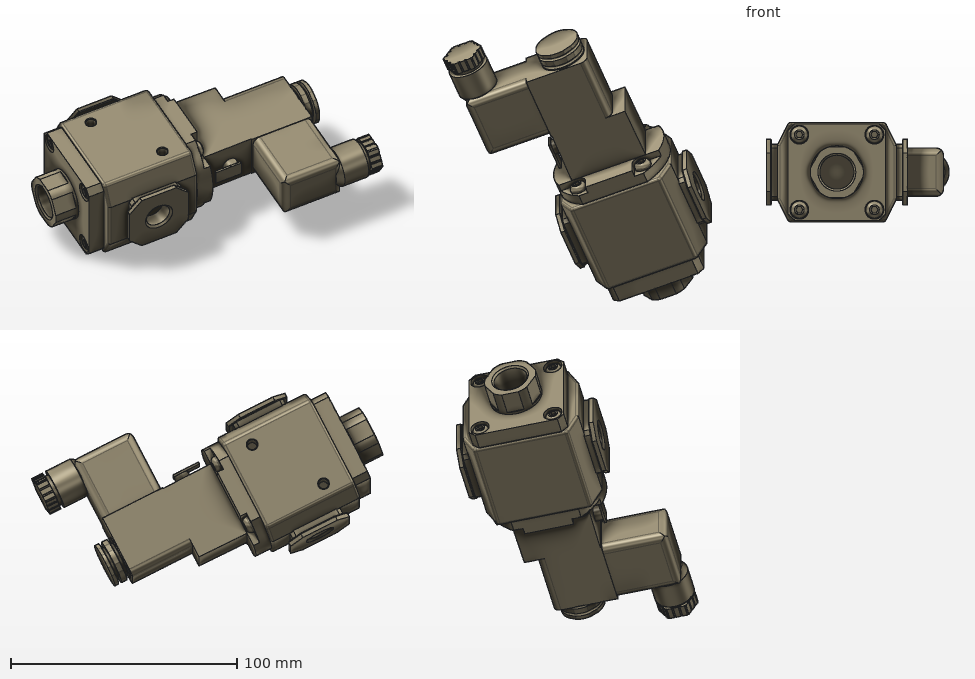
import cadquery as cq
import math


body_front, body_back = -22.5, 21.6
body_half_width = 26.3
body_height = 44.0
body_side_height = 23.9
body_top_half_width = 21.3
body_edge_radius = 1.9
body_end_radius = 1.1

mount_x, mount_y = 15.0, 10.0
mount_diameter = 4.5
mount_rim_diameter = 5.1
mount_depth = 7.2

port_face_x = 31.2
port_plate_size = 29.2
port_plate_chamfer = 6.0
port_plate_thickness = 2.3
port_plate_back_chamfer = 0.5
port_neck_size = 24.9
port_neck_chamfer = 1.7
port_bore = 11.5
port_rim = 13.5
port_depth = 7.2

plate_width, plate_height = 43.2, 42.6
plate_thickness = 7.5
plate_chamfer = 2.9
plate_front = body_front - plate_thickness
nozzle_diameter = 23.5
nozzle_length = 11.3
nozzle_flats = 22.2
nozzle_collar = 1.1
nozzle_bore = 15.0
nozzle_rim = 16.7
nozzle_depth = 21.5
nozzle_front = plate_front - nozzle_length

flange_height = 42.8
flange_thickness = 7.7
flange_back = body_back + flange_thickness

screw_recess = 8.3
screw_depth = 3.0
front_screw_offset = 16.6
rear_screw_offset = 15.3
rear_pocket_radius = 4.0
head_diameter = 7.6
head_height = 2.9
head_rim = 0.7
head_top_diameter = 4.3
head_bulge = 0.3
socket_size = 3.1
socket_depth = 1.5

block_half_width = 17.3
block_base_half_width = 17.6
block_height = 22.0
block_length = 23.7
block_back = flange_back + block_length

lever_diameter = 6.9
lever_reach = 4.7
lever_y = 42.3
tab_thickness = 1.0
tab_length = 12.7

coil_left, coil_right = -11.3, 17.7
coil_length = 29.9
coil_edge_radius = 3.1
coil_back = block_back + coil_length

nut_diameter = 20.0
nut_flats = 19.6
tube_diameter = 15.0
washer_thickness = 0.6
nut_start, nut_thickness = 2.0, 2.7
thin_nut_start, thin_nut_thickness = 6.1, 1.9

box_right = 47.2
box_height = 21.5
box_clearance = 0.7
box_front = block_back + box_clearance
box_edge_radius = 3.5

gland_diameter = 18.0
gland_right = 49.6
gland_x = gland_right - gland_diameter / 2
gland_length = 11.9
gland_neck_diameter = 14.5
gland_neck_length = 1.7
gland_taper_length = 3.3
gland_taper_diameter = 14.3
knob_length = 5.3
knob_flats = 15.9
knob_groove = 0.7
knob_groove_depth = 0.6
teeth_per_side = 3


def cylinder_y(diameter, start, length, x=0.0, z=0.0):
    """Cylinder along +Y from the given start."""
    axis_point = cq.Vector(x, start, z)
    return cq.Workplane(cq.Solid.makeCylinder(diameter / 2, length, axis_point, cq.Vector(0, 1, 0)))


def prism_y(sketch, start, length):
    """Extrude a closed XZ outline along +Y."""
    return sketch.extrude(-length).translate((0, start, 0))


def box_between(x_range, y_range, z_range):
    """Box spanning three (low, high) ranges."""
    low, high = zip(x_range, y_range, z_range)
    size = [b - a for a, b in zip(low, high)]
    return cq.Workplane("XY").box(*size, centered=False).translate(low)


def hexagon_y(flats, start, length, first_flat):
    """Hexagonal bar along Y; first_flat is the angle of one flat's normal from X."""
    bar = prism_y(cq.Workplane("XZ").polygon(6, flats, circumscribed=True), start, length)
    return bar.rotate((0, 0, 0), (0, 1, 0), first_flat)


def flatted_disc(diameter, flats, start, length, first_flat):
    """Disc along Y with its rim cut by six flats."""
    return cylinder_y(diameter, start, length).intersect(hexagon_y(flats, start, length, first_flat))


def countersunk_bore(diameter, rim, depth):
    """Blind bore along -Z from the origin with a 45-degree rim."""
    rim_depth = (rim - diameter) / 2
    profile = [(0, 0), (rim / 2, 0), (diameter / 2, -rim_depth), (diameter / 2, -depth), (0, -depth)]
    return cq.Workplane("XZ").polyline(profile).close().revolve(360, (0, 0), (0, 1))


def main_body():
    side = body_side_height / 2
    top = body_height / 2
    outline = [
        (body_half_width, side), (body_top_half_width, top),
        (-body_top_half_width, top), (-body_half_width, side),
        (-body_half_width, -side), (-body_top_half_width, -top),
        (body_top_half_width, -top), (body_half_width, -side),
    ]
    body = prism_y(cq.Workplane("XZ").polyline(outline).close(), body_front, body_back - body_front)
    body = body.edges("|Y").edges(">Z or <Z").fillet(body_edge_radius)
    return body.faces("<Y or >Y").edges().fillet(body_end_radius)


def mount_holes():
    hole = countersunk_bore(mount_diameter, mount_rim_diameter, mount_depth)
    holes = cq.Workplane()
    for sign in (-1, 1):
        holes = holes.add(hole.translate((sign * mount_x, sign * mount_y, body_height / 2)))
    return holes.combine()


def side_ports():
    """Chamfered port plates and necks on both sides of the body."""
    plate = (
        cq.Workplane("YZ").rect(port_plate_size, port_plate_size).extrude(port_plate_thickness)
        .edges("|X").chamfer(port_plate_chamfer)
        .faces("<X").chamfer(port_plate_back_chamfer)
        .translate((port_face_x - port_plate_thickness, 0, 0))
    )
    inner = 2 * (port_face_x - port_plate_thickness)
    neck = (
        cq.Workplane("XY").box(inner, port_neck_size, port_neck_size)
        .edges("|X").chamfer(port_neck_chamfer)
    )
    return neck.union(plate).union(plate.mirror("YZ"))


def port_bores():
    bore = countersunk_bore(port_bore, port_rim, port_depth).translate((0, 0, port_face_x))
    bores = cq.Workplane()
    for angle in (-90, 90):
        bores = bores.add(bore.rotate((0, 0, 0), (0, 1, 0), angle))
    return bores.combine()


def front_plate():
    plate = prism_y(cq.Workplane("XZ").rect(plate_width, plate_height), plate_front, plate_thickness)
    return plate.edges("|Y").chamfer(plate_chamfer)


def nozzle():
    collar = cylinder_y(nozzle_diameter, plate_front - nozzle_collar, nozzle_collar)
    flats_length = nozzle_length - nozzle_collar
    return collar.union(flatted_disc(nozzle_diameter, nozzle_flats, nozzle_front, flats_length, 30))


def nozzle_hole():
    bore = countersunk_bore(nozzle_bore, nozzle_rim, nozzle_depth)
    return bore.rotate((0, 0, 0), (1, 0, 0), 90).translate((0, nozzle_front, 0))


def screw_head():
    """Domed head standing on the origin and pointing along +Z, with a hexagon socket."""
    base = head_diameter / 2
    top = head_top_diameter / 2
    dome_middle = ((base + top) / 2 + head_bulge, (head_rim + head_height) / 2 + head_bulge)
    head = (
        cq.Workplane("XZ").lineTo(base, 0).lineTo(base, head_rim)
        .threePointArc(dome_middle, (top, head_height)).lineTo(0, head_height).close()
        .revolve(360, (0, 0), (0, 1))
    )
    return head.faces(">Z").workplane().polygon(6, socket_size).cutBlind(-socket_depth)


def corner_points(offset):
    return [(x, z) for x in (-offset, offset) for z in (-offset, offset)]


def front_recesses():
    recesses = cq.Workplane()
    for x, z in corner_points(front_screw_offset):
        recesses = recesses.add(cylinder_y(screw_recess, plate_front, screw_depth, x, z))
    return recesses.combine()


def front_screws():
    head = screw_head().rotate((0, 0, 0), (1, 0, 0), 90)
    heads = cq.Workplane()
    for x, z in corner_points(front_screw_offset):
        heads = heads.add(head.translate((x, plate_front + screw_depth, z)))
    return heads.combine()


def rear_flange():
    """Round flange with flat top and bottom; each screw sits in a pocket open to the outside."""
    flange = cylinder_y(2 * body_half_width, body_back, flange_thickness)
    slab = cq.Workplane("XY").box(2 * body_half_width, 4 * body_half_width, flange_height)
    flange = flange.intersect(slab)
    floor = flange_back - screw_depth
    head = screw_head().rotate((0, 0, 0), (1, 0, 0), -90)
    inner = rear_screw_offset - screw_recess / 2
    pocket = box_between(
        (inner, body_half_width), (floor, flange_back), (inner, body_half_width)
    )
    pocket = pocket.edges("|Y and <X and <Z").fillet(rear_pocket_radius)
    for cutter in (pocket, pocket.mirror("YZ")):
        flange = flange.cut(cutter).cut(cutter.mirror("XY"))
    for x, z in corner_points(rear_screw_offset):
        flange = flange.union(head.translate((x, floor, z)))
    return flange


def valve_block():
    """Block that tapers slightly in width from the flange to the coil."""
    outline = [
        (-block_base_half_width, flange_back), (block_base_half_width, flange_back),
        (block_half_width, block_back), (-block_half_width, block_back),
    ]
    return cq.Workplane("XY").polyline(outline).close().extrude(block_height / 2, both=True)


def override_lever():
    end = block_half_width + lever_reach
    pin = cq.Workplane("YZ").center(lever_y, 0).circle(lever_diameter / 2).extrude(end)
    radius = lever_diameter / 2
    tab = box_between(
        (end - tab_thickness, end), (lever_y + radius - tab_length, lever_y + radius), (-radius, radius)
    )
    return pin.union(tab)


def coil():
    half_height = block_height / 2
    body = box_between((coil_left, coil_right), (block_back, coil_back), (-half_height, half_height))
    return body.edges("|Y and <X").fillet(coil_edge_radius)


def coil_nuts():
    """Round tube carrying a washer and two nuts."""
    stack = cylinder_y(tube_diameter, coil_back, thin_nut_start)
    stack = stack.union(cylinder_y(nut_diameter, coil_back, washer_thickness))
    for start, thickness in ((nut_start, nut_thickness), (thin_nut_start, thin_nut_thickness)):
        nut = flatted_disc(nut_diameter, nut_flats, coil_back + start, thickness, 0)
        stack = stack.union(nut)
    return stack


def connector_box():
    """Box with rounded edges that meet in mitres at the +X corners."""
    half_height = box_height / 2
    blank = box_between((coil_right, box_right), (box_front, coil_back), (-half_height, half_height))
    across = blank.edges("|Y and >X").fillet(box_edge_radius)
    along = blank.edges("|X").fillet(box_edge_radius)
    plan = blank.edges("|Z and >X").fillet(box_edge_radius)
    return across.intersect(along).intersect(plan)


def knob():
    """Hexagonal gland nut with narrow grooves at the corners and along each side."""
    body = hexagon_y(knob_flats, 0, knob_length, 30)
    apothem = knob_flats / 2
    side_length = knob_flats / math.sqrt(3)
    pitch = side_length / teeth_per_side
    groove = cq.Workplane("XY").box(knob_groove, 3 * knob_length, 2 * knob_groove_depth)
    corner_groove = groove.translate((0, 0, side_length)).rotate((0, 0, 0), (0, 1, 0), 30)
    for side in range(6):
        cutters = [corner_groove]
        for step in range(1, teeth_per_side):
            cutters.append(groove.translate((step * pitch - side_length / 2, 0, apothem)))
        for cutter in cutters:
            body = body.cut(cutter.rotate((0, 0, 0), (0, 1, 0), 60 * side))
    return body


def cable_gland():
    neck_start = coil_back + gland_length
    knob_start = neck_start + gland_neck_length
    taper = cq.Solid.makeCone(
        gland_diameter / 2, gland_taper_diameter / 2, gland_taper_length,
        cq.Vector(0, coil_back, 0), cq.Vector(0, -1, 0),
    )
    gland = (
        cylinder_y(gland_diameter, coil_back, gland_length)
        .union(cq.Workplane(taper))
        .union(cylinder_y(gland_neck_diameter, neck_start, gland_neck_length))
        .union(knob().translate((0, knob_start, 0)))
    )
    return gland.translate((gland_x, 0, 0))


result = (
    main_body()
    .union(side_ports())
    .cut(port_bores())
    .cut(mount_holes())
    .union(front_plate())
    .cut(front_recesses())
    .union(front_screws())
    .union(nozzle())
    .cut(nozzle_hole())
    .union(rear_flange())
    .union(valve_block())
    .union(override_lever())
    .union(coil())
    .union(coil_nuts())
    .union(connector_box())
    .union(cable_gland())
)